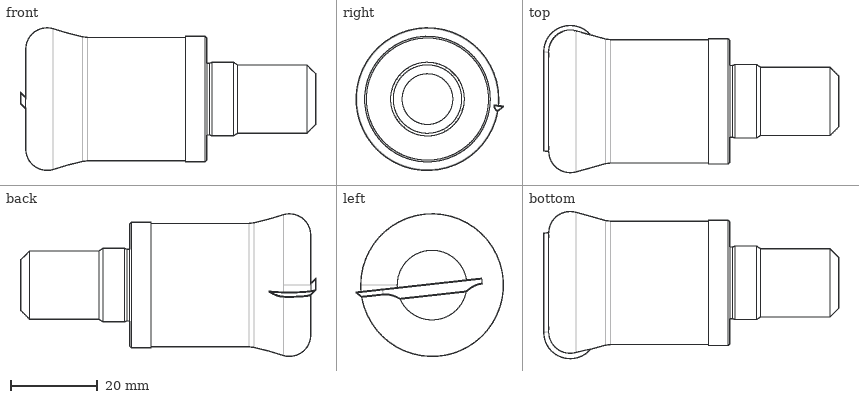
import cadquery as cq
import math

total_length = 68.0

rim_radius = 4.95
rim_center_x = 6.1
head_radius = 16.45
rim_center_radius = head_radius - rim_radius
disc_radius = 8.0
taper_angle = math.radians(15.5)
taper_end_x = 14.2
sleeve_start_x = 15.45

sleeve_radius = 28.5 / 2
collar_radius = 29.0 / 2
collar_start_x = 37.95
collar_end_x = 42.9
collar_chamfer = 0.4

neck_radius = 16.6 / 2
neck_end_x = 43.5
shoulder_radius = 17.0 / 2
shoulder_start_x = 44.05
shoulder_end_x = 49.0
shank_radius = 15.8 / 2
shank_start_x = 50.0
shank_chamfer = 2.05

blade_thickness = 0.2
blade_depth = 3.4
blade_tilt = -6.3
blade_height = 0.35
hook_angle = 140.0


def rim_point(angle):
    """Point on the rim arc, with the angle measured from +X toward the outside."""
    return (
        rim_center_x + rim_radius * math.cos(angle),
        rim_center_radius + rim_radius * math.sin(angle),
    )


def make_body():
    disc_edge_angle = math.pi + math.asin((rim_center_radius - disc_radius) / rim_radius)
    disc_edge = rim_point(disc_edge_angle)
    taper_start_angle = math.pi / 2 - taper_angle
    taper_start = rim_point(taper_start_angle)
    rim_middle = rim_point((disc_edge_angle + taper_start_angle) / 2)
    taper_end_radius = taper_start[1] - (taper_end_x - taper_start[0]) * math.tan(taper_angle)

    profile = (
        cq.Workplane("XY")
        .moveTo(disc_edge[0], 0)
        .lineTo(*disc_edge)
        .threePointArc(rim_middle, taper_start)
        .lineTo(taper_end_x, taper_end_radius)
        .lineTo(sleeve_start_x, sleeve_radius)
        .lineTo(collar_start_x, sleeve_radius)
        .lineTo(collar_start_x, collar_radius)
        .lineTo(collar_end_x - collar_chamfer, collar_radius)
        .lineTo(collar_end_x, collar_radius - collar_chamfer)
        .lineTo(collar_end_x, neck_radius)
        .lineTo(neck_end_x, neck_radius)
        .lineTo(shoulder_start_x, shoulder_radius)
        .lineTo(shoulder_end_x, shoulder_radius)
        .lineTo(shank_start_x, shank_radius)
        .lineTo(total_length - shank_chamfer, shank_radius)
        .lineTo(total_length, shank_radius - shank_chamfer)
        .lineTo(total_length, 0)
        .close()
    )
    return profile.revolve(360, (0, 0, 0), (1, 0, 0))


def blade_section():
    """Thin strip sloping down at 45 degrees into the head, at the start of the hook."""
    return (
        cq.Workplane("XZ", origin=(0, rim_center_radius, 0))
        .moveTo(0, 0)
        .lineTo(blade_depth, -blade_depth)
        .lineTo(blade_depth, -blade_depth - blade_thickness)
        .lineTo(0, -blade_thickness)
        .close()
    )


def make_blade():
    straight = blade_section().extrude(2 * rim_center_radius)
    hook = blade_section().revolve(hook_angle, (rim_center_x, 0, 0), (rim_center_x, -1, 0))
    blade = straight.union(hook)
    return blade.rotate((0, 0, 0), (1, 0, 0), blade_tilt).translate((0, 0, blade_height))


result = make_body().union(make_blade())